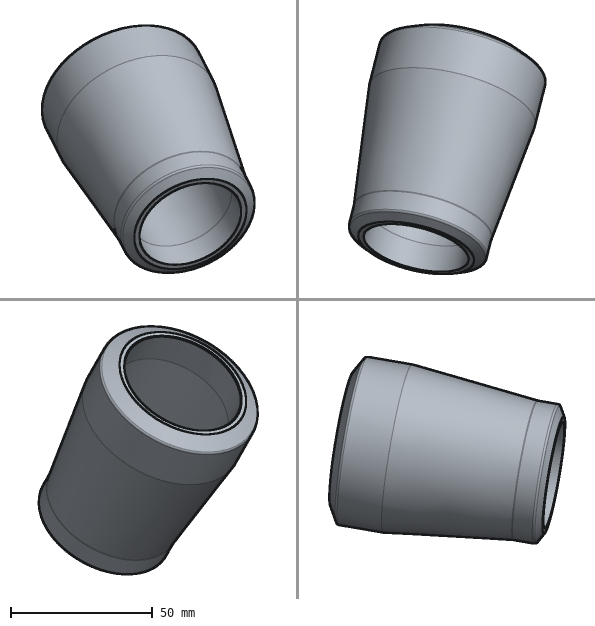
import cadquery as cq
import math

length = 76.0
large_diameter = 60.3
large_bore = 44.3
small_diameter = 50.0
small_bore = 38.0
outer_large_straight = 20.0
bore_large_straight = 12.0
small_straight = 10.1
cone_blend = 2.3
mouth_chamfer = 0.2
land_width = 2.0
bevel_angle = 30.0
bevel_rounding = 1.0

taper_end = length - small_straight


def stepped_taper(large_radius, small_radius, large_straight):
    """Solid of revolution: large cylinder, cone, small cylinder."""
    profile = (
        cq.Workplane("XZ")
        .lineTo(0, large_radius)
        .lineTo(large_straight, large_radius)
        .lineTo(taper_end, small_radius)
        .lineTo(length, small_radius)
        .lineTo(length, 0)
        .close()
    )
    return profile.revolve(360, (0, 0, 0), (1, 0, 0))


def bevel_cutter(face_x, inward, outer_diameter, bore_diameter):
    """Ring outside a rounded weld bevel; inward is +1 or -1 along X."""
    outer_radius = outer_diameter / 2
    land_radius = bore_diameter / 2 + land_width
    angle = math.radians(bevel_angle)
    depth = (outer_radius - land_radius) * math.tan(angle)

    turn = math.pi / 2 - angle
    tangent = bevel_rounding * math.tan(turn / 2)
    arc_start = (depth - tangent * math.sin(angle), outer_radius - tangent * math.cos(angle))
    arc_end = (depth + tangent, outer_radius)
    arc_middle = (
        arc_end[0] - bevel_rounding * math.sin(turn / 2),
        outer_radius - bevel_rounding * (1 - math.cos(turn / 2)),
    )

    def place(point):
        return (face_x + inward * point[0], point[1])

    profile = (
        cq.Workplane("XZ")
        .moveTo(*place((0, land_radius)))
        .lineTo(*place(arc_start))
        .threePointArc(place(arc_middle), place(arc_end))
        .lineTo(*place((0, outer_radius)))
        .close()
    )
    return profile.revolve(360, (0, 0, 0), (1, 0, 0))


body = stepped_taper(large_diameter / 2, small_diameter / 2, outer_large_straight)
cone_foot = cq.selectors.BoxSelector(
    (taper_end - cone_blend, -large_diameter, -large_diameter),
    (taper_end + cone_blend, large_diameter, large_diameter),
    boundingbox=True,
)
body = body.edges(cone_foot).edges("%CIRCLE").fillet(cone_blend)

passage = stepped_taper(large_bore / 2, small_bore / 2, bore_large_straight)
mouth = cq.Workplane(cq.Solid.makeCone(
    large_bore / 2 + mouth_chamfer,
    large_bore / 2,
    mouth_chamfer,
    dir=cq.Vector(1, 0, 0),
))

large_bevel = bevel_cutter(0, 1, large_diameter, large_bore)
small_bevel = bevel_cutter(length, -1, small_diameter, small_bore)

result = body.cut(passage).cut(mouth).cut(large_bevel).cut(small_bevel)